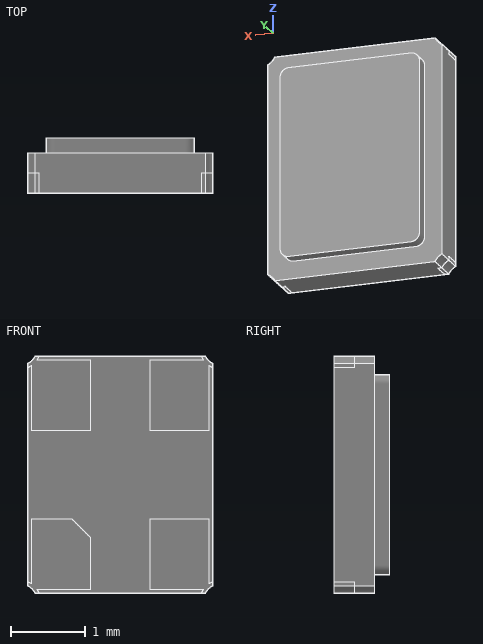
import cadquery as cq
import math

BASE_WIDTH = 2.5
BASE_LENGTH = 3.2
TOTAL_HEIGHT = 0.75

LID_HEIGHT = 0.2
LID_WIDTH = 2.0
LID_LENGTH = 2.7
LID_CORNER_RADIUS = 0.125

CORNER_CUT = 0.1
CORNER_RADIUS = 0.2

PAD_WIDTH = 0.8
PAD_LENGTH = 0.95
PAD_INSET = 0.05
PAD_THICKNESS = 0.02
PAD_BEVEL = 0.253
LINING_THICKNESS = 0.05

BASE_HEIGHT = TOTAL_HEIGHT - LID_HEIGHT
LINING_HEIGHT = BASE_HEIGHT / 2

HALF_CHORD = CORNER_CUT / math.sqrt(2)
AXIS_TO_CHORD = math.sqrt(CORNER_RADIUS**2 - HALF_CHORD**2)
AXIS_OFFSET = (AXIS_TO_CHORD - HALF_CHORD) / math.sqrt(2)

CONTACT_1 = (-1, -1)
CORNERS = [CONTACT_1, (1, -1), (1, 1), (-1, 1)]


def sketch_plane(y):
    """Plane at height y with its local axes along X and Z; extruding by -d moves toward +Y."""
    return cq.Workplane("XZ", origin=(0, y, 0))


def corner_cylinder(x_side, z_side, radius, height):
    """Cylinder on the hollow axis of one corner, rising from the mounting face."""
    x = x_side * (BASE_WIDTH / 2 + AXIS_OFFSET)
    z = z_side * (BASE_LENGTH / 2 + AXIS_OFFSET)
    return sketch_plane(0).center(x, z).circle(radius).extrude(-height)


def make_blank():
    """Block with four hollow corners, before the pads are let in."""
    blank = sketch_plane(0).rect(BASE_WIDTH, BASE_LENGTH).extrude(-BASE_HEIGHT)
    for x_side, z_side in CORNERS:
        blank = blank.cut(corner_cylinder(x_side, z_side, CORNER_RADIUS, BASE_HEIGHT))
    return blank


def make_pad(blank, x_side, z_side):
    """Flat pad joined to the lining of its corner hollow, trimmed to the blank."""
    x = x_side * (BASE_WIDTH / 2 - PAD_INSET - PAD_WIDTH / 2)
    z = z_side * (BASE_LENGTH / 2 - PAD_INSET - PAD_LENGTH / 2)
    plate = sketch_plane(0).center(x, z).rect(PAD_WIDTH, PAD_LENGTH).extrude(-PAD_THICKNESS)
    if (x_side, z_side) == CONTACT_1:
        plate = plate.edges("|Y").edges(">X and >Z").chamfer(PAD_BEVEL)
    lining = corner_cylinder(x_side, z_side, CORNER_RADIUS + LINING_THICKNESS, LINING_HEIGHT)
    return plate.union(lining).intersect(blank)


def make_base(blank, pads):
    """Ceramic base: the blank with a matching recess for each pad."""
    base = blank
    for pad in pads:
        base = base.cut(pad)
    return base


def make_lid():
    """Flat lid with rounded upright corners, resting on the base."""
    lid = sketch_plane(BASE_HEIGHT).rect(LID_WIDTH, LID_LENGTH).extrude(-LID_HEIGHT)
    return lid.edges("|Y").fillet(LID_CORNER_RADIUS)


blank = make_blank()
pads = [make_pad(blank, x_side, z_side) for x_side, z_side in CORNERS]
base = make_base(blank, pads)
lid = make_lid()

bodies = [base, lid, *pads]
result = cq.Compound.makeCompound([body.solids().val() for body in bodies])